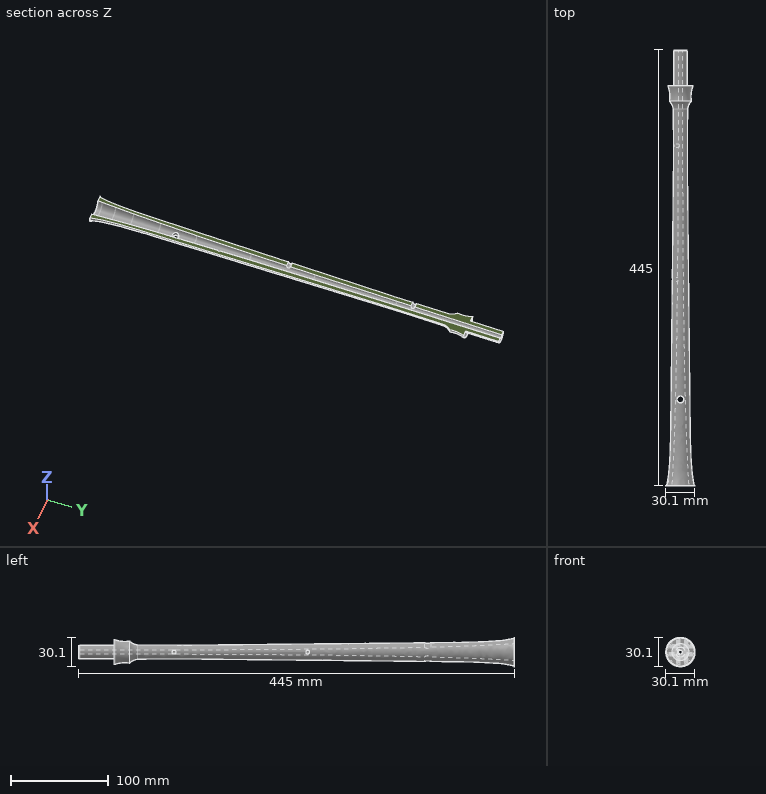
import cadquery as cq

LENGTH = 445.0

TENON_LENGTH = 36.0
TENON_DIAMETER = 14.0
TENON_TIP_DIAMETER = 13.5
TENON_TIP_LENGTH = 1.5

COLLAR_TOP = LENGTH - TENON_LENGTH
RIM_DIAMETER = 25.5
RIM_BOTTOM = COLLAR_TOP - 1.0
BARREL_DIAMETER = 22.8
BARREL_WAIST_DIAMETER = 22.2
BARREL_BOTTOM = COLLAR_TOP - 16.0
COVE_MIDDLE_DIAMETER = 17.4
COLLAR_BOTTOM = COLLAR_TOP - 24.0

BELL_DIAMETER = 30.14
LIP_WIDTH = 0.5
FLARE_DIAMETER = 28.4

TUBE_TOP_DIAMETER = 15.0
TUBE_STATIONS = [
    (6.6, 26.0),
    (15.0, 23.9),
    (32.0, 21.6),
    (63.0, 20.1),
    (119.0, 18.8),
    (248.0, 16.1),
    (330.0, 14.6),
]

BORE_END_DIAMETER = 3.8
BORE_STATIONS = [
    (0.0, 17.4),
    (5.0, 16.6),
    (20.0, 15.0),
    (40.0, 13.0),
    (70.0, 11.0),
    (110.0, 9.0),
    (170.0, 6.8),
    (240.0, 5.4),
    (330.0, 4.4),
]

VENT_DIAMETER = 6.8
VENT_Y = 88.4
FINGER_HOLE_DIAMETER = 3.9
FINGER_HOLES_Y = [211.0, 347.5]


def turned_body():
    """Solid of revolution about Y, without the bore."""
    tube_points = [(diameter / 2, y) for y, diameter in TUBE_STATIONS]
    tube_points.append((TUBE_TOP_DIAMETER / 2, COLLAR_BOTTOM))
    return (
        cq.Workplane("XY")
        .lineTo(BELL_DIAMETER / 2, 0)
        .lineTo(BELL_DIAMETER / 2, LIP_WIDTH)
        .lineTo(FLARE_DIAMETER / 2, LIP_WIDTH)
        .spline(tube_points, includeCurrent=True)
        .threePointArc(
            (COVE_MIDDLE_DIAMETER / 2, (BARREL_BOTTOM + COLLAR_BOTTOM) / 2),
            (BARREL_DIAMETER / 2, BARREL_BOTTOM),
        )
        .threePointArc(
            (BARREL_WAIST_DIAMETER / 2, (BARREL_BOTTOM + RIM_BOTTOM) / 2),
            (RIM_DIAMETER / 2, RIM_BOTTOM),
        )
        .lineTo(RIM_DIAMETER / 2, COLLAR_TOP)
        .lineTo(TENON_DIAMETER / 2, COLLAR_TOP)
        .lineTo(TENON_DIAMETER / 2, LENGTH - TENON_TIP_LENGTH)
        .lineTo(TENON_TIP_DIAMETER / 2, LENGTH)
        .lineTo(0, LENGTH)
        .close()
        .revolve(360, (0, 0, 0), (0, 1, 0))
    )


def bore():
    """Tapering bore from the mouth to the end of the tenon."""
    wall = [(diameter / 2, y) for y, diameter in BORE_STATIONS]
    wall.append((BORE_END_DIAMETER / 2, LENGTH))
    return (
        cq.Workplane("XY")
        .polyline([(0, 0)] + wall + [(0, LENGTH)])
        .close()
        .revolve(360, (0, 0, 0), (0, 1, 0))
    )


def vent():
    """Hole through both walls along Z."""
    return (
        cq.Workplane("XY", origin=(0, VENT_Y, 0))
        .circle(VENT_DIAMETER / 2)
        .extrude(BELL_DIAMETER / 2, both=True)
    )


def finger_hole(y):
    """Hole from the -X side into the bore."""
    return (
        cq.Workplane("YZ", origin=(0, y, 0))
        .circle(FINGER_HOLE_DIAMETER / 2)
        .extrude(-BELL_DIAMETER / 2)
    )


result = turned_body().cut(bore()).cut(vent())
for hole_y in FINGER_HOLES_Y:
    result = result.cut(finger_hole(hole_y))